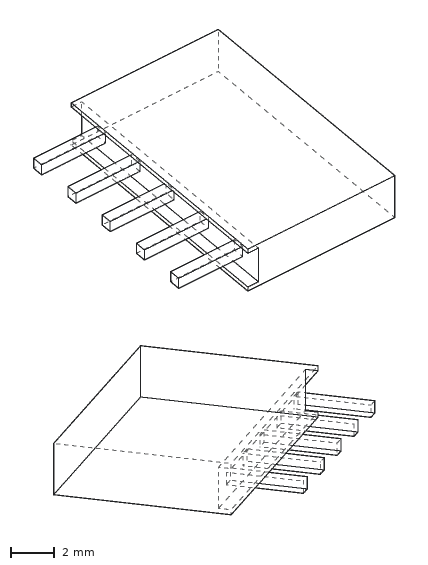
import cadquery as cq

housing_width = 13.1
housing_depth = 8.48
housing_height = 2.5

channel_depth = 0.6
lip_thickness = 0.25

pin_count = 5
pin_pitch = 2.54
pin_side = 0.6
pin_overhang = 3.08
pin_height_offset = 0.03
pin_length = pin_overhang + channel_depth


def make_housing():
    """Block with a full-width front channel between two thin lips; front edges at Y = 0."""
    block = cq.Workplane("XY").box(
        housing_width, housing_depth, housing_height, centered=(True, False, True)
    )
    channel_height = housing_height - 2 * lip_thickness
    channel = cq.Workplane("XY").box(
        housing_width, channel_depth, channel_height, centered=(True, False, True)
    )
    return block.cut(channel)


def make_pin(x):
    """Square pin centred at x, running from the channel floor toward -Y."""
    pin = cq.Workplane("XY").box(pin_side, pin_length, pin_side, centered=(True, False, True))
    return pin.translate((x, -pin_overhang, pin_height_offset))


housing = make_housing()

pins = []
for index in range(pin_count):
    pin_x = (index - (pin_count - 1) / 2) * pin_pitch
    pins.append(make_pin(pin_x).val())

result = cq.Compound.makeCompound([housing.val(), *pins])